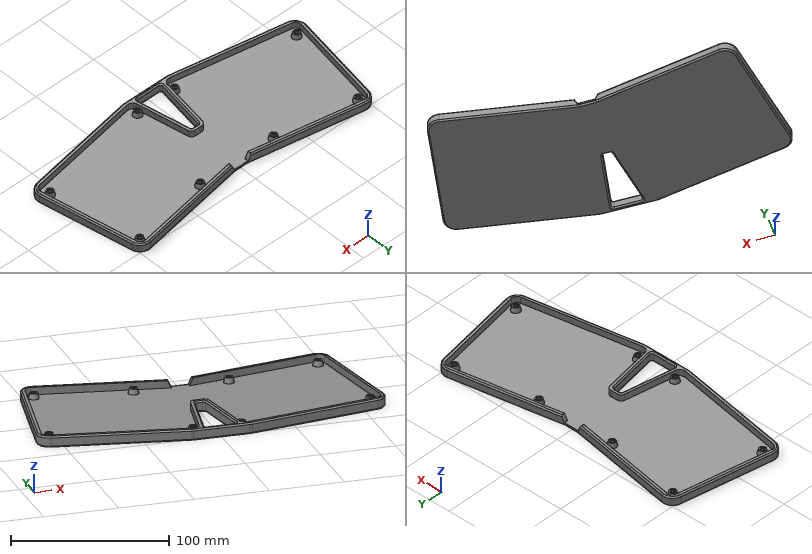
import cadquery as cq
import math

LENGTH_X = 231.12
WIDTH_Y = 104.46
HEIGHT = 7.5

SPLAY = 10.0
FLOOR = 2.5
WALL = 3.0
EDGE_CHAMFER = 1.0
CORNER_RADIUS = 8.5
CAVITY_RADIUS = 4.0
FRONT_FLAT_HALF = 19.3
BACK_FLAT_HALF = 5.3

WINDOW_BACK_Y = -6.0
WINDOW_FRONT_HALF = 10.85
WINDOW_RADIUS = 1.5
SURROUND_RADIUS = 3.5

NOTCH_FLOOR_HALF = 6.0
NOTCH_TOP_HALF = 8.3

BOSS_BASE_DIAMETER = 7.0
BOSS_TOP_DIAMETER = 5.1
BOSS_HEIGHT = 3.5
SCREW_DIAMETER = 2.2
SCREW_CHAMFER = 0.5
BOSS_ORIGIN_X = -106.8
BOSS_ORIGIN_Y = -26.2
BACK_ROW = 71.0
BACK_INNER = 63.7
FRONT_INNER = 92.2

SIN = math.sin(math.radians(SPLAY))
COS = math.cos(math.radians(SPLAY))
TAN = math.tan(math.radians(SPLAY))
FRONT_Y = -WIDTH_Y / 2
BACK_Y = WIDTH_Y / 2


def mirrored(left_points):
    """Closed symmetric outline from the points of its left half."""
    return left_points + [(-x, y) for x, y in reversed(left_points)]


def prism(points, bottom, top):
    """Upright block with the given outline between two heights."""
    return cq.Workplane("XY").workplane(offset=bottom).polyline(points).close().extrude(top - bottom)


def outline_points(inset):
    """Sharp corners of the case outline, moved inwards by inset."""
    front_centre_x = -LENGTH_X / 2 + CORNER_RADIUS
    front_centre_y = FRONT_Y + (-FRONT_FLAT_HALF - front_centre_x) * TAN + CORNER_RADIUS / COS
    back_centre_y = BACK_Y - CORNER_RADIUS
    back_centre_x = front_centre_x + (back_centre_y - front_centre_y) * TAN

    reach = CORNER_RADIUS - inset
    front_corner = (front_centre_x - reach * (COS + SIN), front_centre_y + reach * (SIN - COS))
    back_corner = (back_centre_x + reach * (SIN - COS), back_centre_y + reach * (COS + SIN))

    turn = inset * math.tan(math.radians(SPLAY / 2))
    front_bend = (-FRONT_FLAT_HALF + turn, FRONT_Y + inset)
    back_bend_x = -BACK_FLAT_HALF + turn
    back_bend = (back_bend_x, back_corner[1] - (back_bend_x - back_corner[0]) * TAN)
    return mirrored([front_bend, front_corner, back_corner, back_bend])


def window_points(growth):
    """Sharp corners of the window, moved outwards by growth."""
    front_y = FRONT_Y + WALL - growth
    back_y = WINDOW_BACK_Y + growth
    front_half = WINDOW_FRONT_HALF + growth / COS + growth * TAN
    back_half = front_half - (back_y - front_y) * TAN
    return mirrored([(-front_half, front_y), (-back_half, back_y)])


def make_cavity():
    """Space above the floor, between the outer walls and the window surround."""
    pocket = prism(outline_points(WALL), FLOOR, HEIGHT)
    surround = prism(window_points(WALL), FLOOR, HEIGHT)
    surround = surround.edges("|Z and >Y").fillet(SURROUND_RADIUS)
    pocket = pocket.cut(surround)
    outer_corners = pocket.edges("|Z and (<X or >X or >Y)")
    pocket = outer_corners.fillet(CAVITY_RADIUS)
    front_reach = WINDOW_FRONT_HALF + 2 * WALL
    beside_window = cq.selectors.BoxSelector(
        (-front_reach, FRONT_Y, 0), (front_reach, FRONT_Y + 2 * WALL, HEIGHT)
    )
    return pocket.edges("|Z").edges(beside_window).fillet(CAVITY_RADIUS)


def make_body():
    """Chamfered block with the window through it."""
    body = prism(outline_points(0), 0, HEIGHT).edges("|Z").fillet(CORNER_RADIUS)
    window = prism(window_points(0), 0, HEIGHT).edges("|Z").fillet(WINDOW_RADIUS)
    return body.cut(window).faces("<Z or >Z").edges().chamfer(EDGE_CHAMFER)


def make_notch():
    """Tapered slot above the floor, from the middle of the part out through the back wall."""
    profile = mirrored([(-NOTCH_FLOOR_HALF, FLOOR), (-NOTCH_TOP_HALF, HEIGHT)])
    return cq.Workplane("XZ").polyline(profile).close().extrude(-BACK_Y)


def boss_centres():
    """Boss centres of the left half, then those of the right half."""
    offsets = [(0, 0), (0, BACK_ROW), (BACK_INNER, BACK_ROW), (FRONT_INNER, 0)]
    left = []
    for along, back in offsets:
        x = BOSS_ORIGIN_X + along * COS + back * SIN
        y = BOSS_ORIGIN_Y - along * SIN + back * COS
        left.append((x, y))
    return mirrored(left)


def make_boss():
    """Tapered boss with a countersunk blind screw hole, standing on the XY plane."""
    base = BOSS_BASE_DIAMETER / 2
    top = BOSS_TOP_DIAMETER / 2
    screw = SCREW_DIAMETER / 2
    shoulder = BOSS_HEIGHT - SCREW_CHAMFER
    profile = [
        (screw, 0),
        (base, 0),
        (top, BOSS_HEIGHT),
        (screw + SCREW_CHAMFER, BOSS_HEIGHT),
        (screw, shoulder),
    ]
    return cq.Workplane("XZ").polyline(profile).close().revolve(360, (0, 0), (0, 1))


def add_bosses(case):
    boss = make_boss()
    for x, y in boss_centres():
        case = case.union(boss.translate((x, y, FLOOR)))
    return case


case = make_body().cut(make_cavity()).cut(make_notch())
result = add_bosses(case)